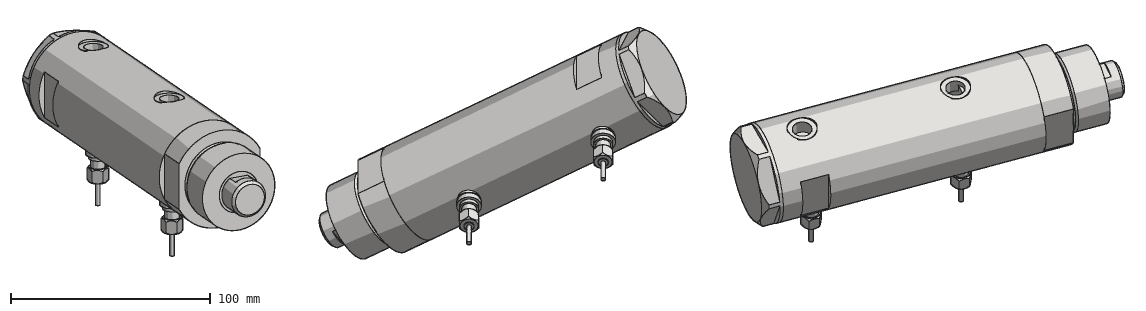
import cadquery as cq
import math

overall_length = 199.0
overall_height = 84.4
cap_hex_length = 8.8
barrel_start = 10.5
barrel_end = 150.7
head_shoulder = 166.4
head_end = 186.9

barrel_diameter = 52.0
barrel_radius = barrel_diameter / 2
bore_radius = 18.0
flat_half_width = 22.9
barrel_flat_start = 20.9
barrel_flat_length = 15.0

port_positions = (30.0, 111.8)
port_diameter = 9.8
port_radius = port_diameter / 2
port_seat_radius = 7.5
port_seat_height = 24.7

cap_hex_width = 46.2
cap_hex_turn = 7.6
cap_chamfer = 3.0

spigot_length = 35.8
head_spigot_radius = 21.9
cap_spigot_end = barrel_start + spigot_length
head_spigot_start = barrel_end - spigot_length

relief_radius = 19.1
relief_rim_radius = 19.7
relief_start = 167.5
relief_end = 168.8
thread_start = 170.0
thread_radius = 20.5

rod_radius = 11.0
rod_tip_radius = 9.5
rod_flat_half_width = 8.2
rod_flat_end = 193.0
rod_chamfer = 1.4

sensor_positions = (34.8, 114.8)
sensor_seat_z = -23.9
neck_radius = 5.8
neck_bottom = -27.5
collar_radius = 6.2
collar_bottom = -31.0
sleeve_radius = 4.8
sleeve_bottom = -33.2
stem_radius = 3.8
nut_top = -37.8
nut_bottom = -45.5
nut_width = 9.5
nut_chamfer = 1.0
gland_radius = 2.5
gland_bottom = -46.2
cable_radius = 1.2
cable_bottom = barrel_radius - overall_height


def axial_cylinder(radius, start, end):
    """Cylinder on the X axis between two positions."""
    return cq.Workplane("YZ", origin=(start, 0, 0)).circle(radius).extrude(end - start)


def upright_cylinder(x, radius, bottom, top):
    """Vertical cylinder centred under or over the X axis."""
    return cq.Workplane("XY", origin=(x, 0, bottom)).circle(radius).extrude(top - bottom)


def hexagon_diameter(width_across_flats):
    """Diameter over the corners of a regular hexagon."""
    return width_across_flats / math.cos(math.radians(30))


def cut_side_flats(body, start, length):
    """Cut a pair of wrench flats on the -Y and +Y sides."""
    depth = barrel_radius - flat_half_width
    for side in (-1, 1):
        block = cq.Workplane("XY").box(length, depth, 2 * barrel_radius)
        body = body.cut(
            block.translate((start + length / 2, side * (flat_half_width + depth / 2), 0))
        )
    return body


def make_barrel():
    barrel = axial_cylinder(barrel_radius, barrel_start, barrel_end)
    barrel = barrel.cut(axial_cylinder(bore_radius, barrel_start, barrel_end))
    barrel = barrel.cut(axial_cylinder(head_spigot_radius, head_spigot_start, barrel_end))
    barrel = cut_side_flats(barrel, barrel_flat_start, barrel_flat_length)
    for x in port_positions:
        barrel = barrel.cut(upright_cylinder(x, port_radius, 0, barrel_radius))
        barrel = barrel.cut(upright_cylinder(x, port_seat_radius, port_seat_height, barrel_radius))
    for x in sensor_positions:
        barrel = barrel.cut(upright_cylinder(x, neck_radius, -barrel_radius, sensor_seat_z))
    return barrel


def make_cap():
    blank = axial_cylinder(barrel_radius, 0, cap_hex_length).faces("<X").chamfer(cap_chamfer)
    hexagon = (
        cq.Workplane("YZ")
        .polygon(6, hexagon_diameter(cap_hex_width))
        .extrude(cap_hex_length)
        .rotate((0, 0, 0), (1, 0, 0), -cap_hex_turn)
    )
    flange = axial_cylinder(barrel_radius, cap_hex_length, barrel_start)
    spigot = axial_cylinder(bore_radius, barrel_start, cap_spigot_end)
    return blank.intersect(hexagon).union(flange).union(spigot)


def make_head():
    profile = [
        (head_spigot_start, rod_radius),
        (head_spigot_start, head_spigot_radius),
        (barrel_end, head_spigot_radius),
        (barrel_end, barrel_radius),
        (head_shoulder, barrel_radius),
        (head_shoulder, relief_rim_radius),
        (relief_start, relief_radius),
        (relief_end, relief_radius),
        (relief_end, relief_rim_radius),
        (thread_start, thread_radius),
        (head_end, thread_radius),
        (head_end, rod_radius),
    ]
    head = cq.Workplane("XZ").polyline(profile).close().revolve(360, (0, 0, 0), (1, 0, 0))
    return cut_side_flats(head, barrel_end, head_shoulder - barrel_end)


def make_rod():
    tip = axial_cylinder(rod_tip_radius, head_end, overall_length).faces(">X").chamfer(rod_chamfer)
    rod = axial_cylinder(rod_radius, cap_spigot_end, head_end).union(tip)
    length = rod_flat_end - head_end
    depth = rod_tip_radius - rod_flat_half_width
    for side in (-1, 1):
        block = cq.Workplane("XY").box(length, 2 * rod_tip_radius, depth)
        rod = rod.cut(
            block.translate((head_end + length / 2, 0, side * (rod_flat_half_width + depth / 2)))
        )
    return rod


def make_nut(x):
    """Hexagon nut with its corners along X, chamfered at both ends."""
    height = nut_top - nut_bottom
    corner_diameter = hexagon_diameter(nut_width)
    nut = cq.Workplane("XY", origin=(x, 0, nut_bottom)).polygon(6, corner_diameter).extrude(height)
    turned = upright_cylinder(x, corner_diameter / 2, nut_bottom, nut_top)
    turned = turned.faces("<Z or >Z").chamfer(nut_chamfer)
    return nut.intersect(turned)


def make_sensor(x):
    sensor = upright_cylinder(x, neck_radius, neck_bottom, sensor_seat_z)
    steps = [
        (collar_radius, collar_bottom, neck_bottom),
        (sleeve_radius, sleeve_bottom, collar_bottom),
        (stem_radius, nut_top, sleeve_bottom),
        (gland_radius, gland_bottom, nut_bottom),
        (cable_radius, cable_bottom, gland_bottom),
    ]
    sensor = sensor.union(make_nut(x))
    for radius, bottom, top in steps:
        sensor = sensor.union(upright_cylinder(x, radius, bottom, top))
    return sensor


barrel = make_barrel()
cap = make_cap()
head = make_head()
rod = make_rod()
sensors = [make_sensor(x) for x in sensor_positions]

bodies = [barrel, cap, head, rod, *sensors]
result = cq.Compound.makeCompound([body.solids().val() for body in bodies])